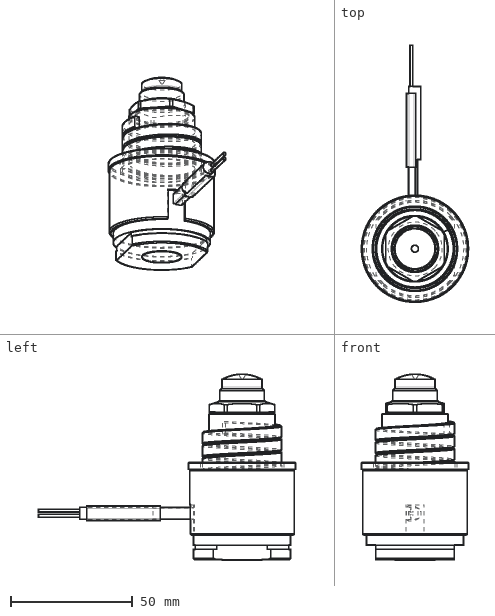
import cadquery as cq
import math

foot_radius = 8.1
foot_height = 0.3
base_radius = 19.9
base_chamfer = 0.5
base_top = 4.4
base_flat_distance = 16.1
groove_radius = 19.2
groove_top = 6.2
ring_radius = 19.9
housing_radius = 21.5
housing_bottom = 10.2
housing_chamfer = 0.6
flange_diameter = 44.0
flange_radius = flange_diameter / 2
flange_bottom = 37.2
flange_top = 40.3
rim_chamfer = 0.4
bore_radius = 17.1

core_radius = 13.6
core_top = 60.1
core_chamfer = 0.3
undercut_radius = 11.1
hex_bottom = 60.8
hex_height = 4.2
hex_across_flats = 24.0
hex_corner_diameter = 26.9
hex_corner_radius = hex_corner_diameter / 2
cone_radius = 9.7
cone_drop = 1.2
neck_radius = 9.2
neck_blend = 0.5
neck_top = 70.4
neck_chamfer = 0.7
collar_radius = 8.4
collar_top = 71.2
tip_radius = 8.2
tip_top = 74.2
dome_apex = 76.4
dimple_radius = 1.5
dimple_depth = 2.5

coil_radius = 16.2
coil_pitch = 5.3
coil_gap = 0.1
coil_turns = 4
coil_chamfer = 0.5
coil_overlap = 0.4
coil_end_angle = 30
coil_end_top = 57.1

cable_z = 19.3
slot_width = 7.4
slot_top = 22.8
cable_root_y = 19.0
lead_left, lead_right = -2.7, 0.1
lead_height = 5.1
lead_fillet = 0.4
inner_lead_right = 1.1
inner_lead_height = 4.4
clip_left, clip_right = -3.5, 0.4
clip_height = 6.0
clip_fillet = 1.0
clip_start_y = 33.4
clip_end_y = 63.7
tube_x = -0.1
tube_radius = 2.5
tube_start_y = 36.5
tube_end_y = 66.6
wire_x = -1.5
wire_radius = 0.6
wire_spacing = 2.1
overall_length = 105.5
cable_end_y = overall_length - flange_radius


def disc(radius, bottom, top):
    """Solid disc about the Z axis."""
    return cq.Workplane("XY").workplane(offset=bottom).circle(radius).extrude(top - bottom)


def make_base():
    """Foot and grooved base disc, flattened on both X sides."""
    base = disc(base_radius, foot_height, base_top).faces("<Z").chamfer(base_chamfer)
    base = base.union(disc(groove_radius, base_top, groove_top))
    flats = cq.Workplane("XY").box(
        2 * base_flat_distance, 2 * base_radius, groove_top, centered=(True, True, False)
    )
    return base.intersect(flats).union(disc(foot_radius, 0, base_top))


def make_housing():
    """Main drum with its flange, cable slot and open bore around the coil."""
    drum = disc(housing_radius, housing_bottom, flange_bottom)
    drum = drum.faces("<Z").chamfer(housing_chamfer).faces(">Z").chamfer(rim_chamfer)
    slot = cq.Workplane("XY").workplane(offset=housing_bottom)
    slot = slot.center(0, housing_radius).rect(slot_width, 2 * housing_radius)
    slot = slot.extrude(slot_top - housing_bottom)
    ring = disc(ring_radius, groove_top, flange_bottom)
    flange = disc(flange_radius, flange_bottom, flange_top)
    flange = flange.cut(disc(bore_radius, flange_bottom, flange_top))
    flange = flange.faces(">Z").chamfer(rim_chamfer)
    return drum.cut(slot).union(ring).union(flange)


def make_core():
    """Plain core carrying the coil, with the undercut below the hexagon."""
    core = disc(core_radius, flange_bottom, core_top).faces(">Z").chamfer(core_chamfer)
    return core.union(disc(undercut_radius, core_top, hex_bottom))


def make_coil():
    """Flat-sided coil with chamfered outer corners, ending at coil_end_angle."""
    thickness = coil_pitch - coil_gap
    inner_radius = core_radius - coil_overlap
    path_height = coil_pitch * coil_turns
    path = cq.Wire.makeHelix(coil_pitch, path_height, inner_radius)
    section = cq.Workplane("XZ").polyline([
        (inner_radius, -thickness),
        (coil_radius - coil_chamfer, -thickness),
        (coil_radius, coil_chamfer - thickness),
        (coil_radius, -coil_chamfer),
        (coil_radius - coil_chamfer, 0),
        (inner_radius, 0),
    ]).close()
    coil = section.sweep(cq.Workplane(path), isFrenet=True)
    coil = coil.rotate((0, 0, 0), (0, 0, 1), coil_end_angle)
    return coil.translate((0, 0, coil_end_top - path_height))


def make_hexagon():
    """Hexagon with corners on the Y axis, coned on top and rounded at the corners."""
    hex_top = hex_bottom + hex_height
    half_corner_angle = 180 / 6
    circumscribed = hex_across_flats / math.cos(math.radians(half_corner_angle))
    hexagon = cq.Workplane("XY").workplane(offset=hex_bottom).polygon(6, circumscribed)
    hexagon = hexagon.extrude(hex_height).rotate((0, 0, 0), (0, 0, 1), half_corner_angle)
    envelope = cq.Workplane("XZ").polyline([
        (0, hex_bottom),
        (hex_corner_radius, hex_bottom),
        (hex_corner_radius, hex_top - cone_drop),
        (cone_radius, hex_top),
        (0, hex_top),
    ]).close().revolve()
    return hexagon.intersect(envelope)


def make_tip():
    """Neck, collar and domed tip with a conical dimple at the apex."""
    neck_bottom = hex_bottom + hex_height
    dome_rise = dome_apex - tip_top
    dome_radius = (tip_radius**2 + dome_rise**2) / (2 * dome_rise)
    half_edge = tip_radius / 2
    half_height = dome_apex - dome_radius + math.sqrt(dome_radius**2 - half_edge**2)
    tip = (
        cq.Workplane("XZ")
        .moveTo(0, neck_bottom)
        .lineTo(neck_radius + neck_blend, neck_bottom)
        .lineTo(neck_radius, neck_bottom + neck_blend)
        .lineTo(neck_radius, neck_top - neck_chamfer)
        .lineTo(collar_radius, neck_top)
        .lineTo(tip_radius, collar_top)
        .lineTo(tip_radius, tip_top)
        .threePointArc((half_edge, half_height), (0, dome_apex))
        .close()
        .revolve()
    )
    dimple = cq.Workplane("XZ").polyline([
        (0, dome_apex - dimple_depth),
        (dimple_radius, dome_apex),
        (0, dome_apex),
    ]).close().revolve()
    return tip.cut(dimple)


def cable_bar(left, right, height, fillet, start_y, end_y):
    """Bar along Y with rounded long edges, centred on the cable height."""
    bar = cq.Workplane("XY").box(right - left, end_y - start_y, height)
    bar = bar.edges("|Y").fillet(fillet)
    return bar.translate(((left + right) / 2, (start_y + end_y) / 2, cable_z))


def cable_rod(x, z, radius, start_y, end_y):
    """Round rod along Y."""
    rod = cq.Workplane("XZ", origin=(x, start_y, z)).circle(radius)
    return rod.extrude(start_y - end_y)


def make_cable():
    """Two-layer lead, clip bar, round tube and a pair of wires."""
    cable = cable_bar(lead_left, lead_right, lead_height, lead_fillet, cable_root_y, clip_end_y)
    cable = cable.union(cable_bar(
        lead_left + lead_fillet, inner_lead_right, inner_lead_height, lead_fillet,
        cable_root_y, clip_end_y,
    ))
    cable = cable.union(cable_bar(
        clip_left, clip_right, clip_height, clip_fillet, clip_start_y, clip_end_y
    ))
    cable = cable.union(cable_rod(tube_x, cable_z, tube_radius, tube_start_y, tube_end_y))
    for side in (-1, 1):
        wire_z = cable_z + side * wire_spacing / 2
        cable = cable.union(cable_rod(wire_x, wire_z, wire_radius, clip_end_y, cable_end_y))
    return cable


result = (
    make_housing()
    .union(make_base())
    .union(make_core())
    .union(make_coil())
    .union(make_hexagon())
    .union(make_tip())
    .union(make_cable())
)